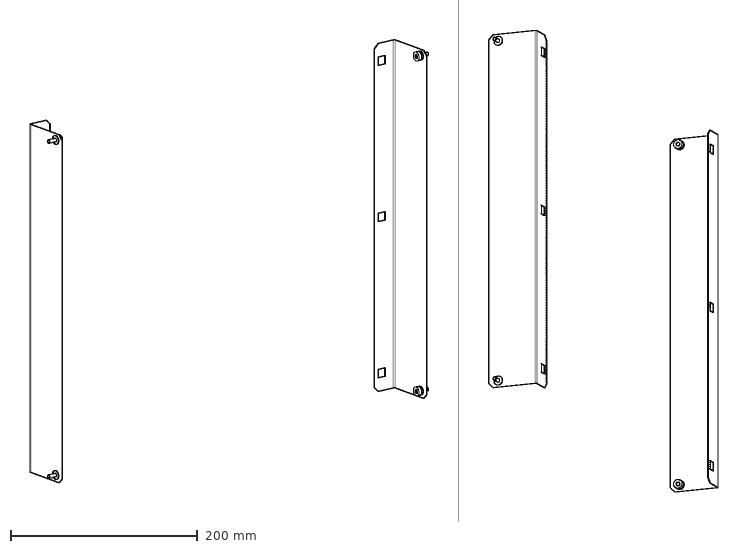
import cadquery as cq

overall_span = 519.0
bracket_span = 500.0
bracket_width = 56.0
bracket_height = 390.0

sheet_thickness = 1.0
bend_radius = 1.95
flange_depth = 28.0
corner_chamfer = 5.0

square_hole = 9.5
square_hole_edge = 10.0
square_hole_pitch = 175.0
square_hole_count = 3

bushing_diameter = 10.0
bushing_edge_gap = 6.0
bushing_end_gap = 2.35
bushing_rise = 1.5

screw_diameter = 4.0
tip_chamfer = 0.5
head_diameter = bushing_diameter
head_height = 3.5
socket_diameter = 4.0
socket_depth = 1.5

tip_y = -overall_span / 2
outer_face_y = -bracket_span / 2
inner_face_y = outer_face_y + sheet_thickness
flange_edge_y = outer_face_y + flange_depth
bushing_end_y = inner_face_y + bushing_rise
head_end_y = bushing_end_y + head_height
square_hole_y = flange_edge_y - square_hole_edge
square_hole_span = (square_hole_count - 1) * square_hole_pitch
first_square_hole_z = (bracket_height - square_hole_span) / 2
screw_x = bracket_width - bushing_edge_gap - bushing_diameter / 2
screw_end_distance = bushing_end_gap + bushing_diameter / 2
screw_levels = [screw_end_distance, bracket_height - screw_end_distance]


def cylinder_y(diameter, z, y_start, y_end):
    """Cylinder along Y on the screw axis at height z."""
    start = cq.Vector(screw_x, y_start, z)
    direction = cq.Vector(0, 1, 0)
    return cq.Workplane(cq.Solid.makeCylinder(diameter / 2, y_end - y_start, start, direction))


def make_angle():
    """Bent sheet: a web facing Y and a flange facing X, with chamfered free corners."""
    angle = (
        cq.Workplane("XY")
        .moveTo(bend_radius, outer_face_y)
        .lineTo(bracket_width, outer_face_y)
        .lineTo(bracket_width, inner_face_y)
        .lineTo(bend_radius, inner_face_y)
        .radiusArc((sheet_thickness, outer_face_y + bend_radius), bend_radius - sheet_thickness)
        .lineTo(sheet_thickness, flange_edge_y)
        .lineTo(0, flange_edge_y)
        .lineTo(0, outer_face_y + bend_radius)
        .radiusArc((bend_radius, outer_face_y), -bend_radius)
        .close()
        .extrude(bracket_height)
    )
    angle = angle.faces(">X").edges("|Y").chamfer(corner_chamfer)
    return angle.faces(">Y").edges("|X").chamfer(corner_chamfer)


def make_square_hole_cutter(z):
    """Square bar through the flange thickness."""
    return (
        cq.Workplane("YZ", origin=(0, square_hole_y, z))
        .rect(square_hole, square_hole)
        .extrude(sheet_thickness)
    )


def make_bracket():
    """Angle with its row of square holes and the two bushing holes."""
    bracket = make_angle()
    for i in range(square_hole_count):
        bracket = bracket.cut(make_square_hole_cutter(first_square_hole_z + i * square_hole_pitch))
    for z in screw_levels:
        bracket = bracket.cut(cylinder_y(bushing_diameter, z, outer_face_y, inner_face_y))
    return bracket


def make_bushing(z):
    """Plain ring, flush with the outer face of the web."""
    ring = cylinder_y(bushing_diameter, z, outer_face_y, bushing_end_y)
    return ring.cut(cylinder_y(screw_diameter, z, outer_face_y, bushing_end_y))


def make_screw(z):
    """Shank through the bushing, with a socket head seated on the bushing's inner end."""
    shank = cylinder_y(screw_diameter, z, tip_y, bushing_end_y)
    shank = shank.faces("<Y").chamfer(tip_chamfer)
    head = cylinder_y(head_diameter, z, bushing_end_y, head_end_y)
    socket = cylinder_y(socket_diameter, z, head_end_y - socket_depth, head_end_y)
    return shank.union(head).cut(socket)


front_bodies = [make_bracket()]
for level in screw_levels:
    front_bodies.append(make_bushing(level))
    front_bodies.append(make_screw(level))

back_bodies = [body.mirror("XZ") for body in front_bodies]

result = cq.Compound.makeCompound([body.val() for body in front_bodies + back_bodies])